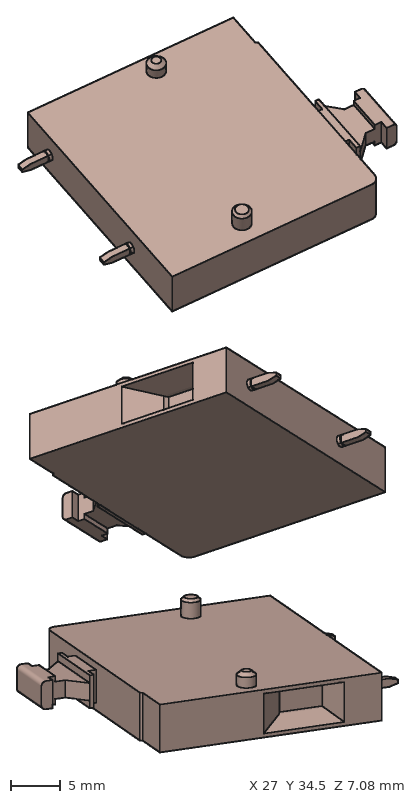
import cadquery as cq

WIDTH = 27.0
DEPTH = 24.75
THICKNESS = 5.08
MID_Z = THICKNESS / 2
CORNER_RADIUS = 1.0
STEP_WIDTH = 4.1
STEP_DEPTH = 0.25
STEP_RUN = 0.17

POCKET_FRONT_Y = 4.15
POCKET_BACK_Y = 13.05
POCKET_MARGIN = 0.43
POCKET_DEPTH = 2.95
FLOOR_FRONT_Y = 5.03
FLOOR_BACK_Y = 9.98
FLOOR_MARGIN = 1.2
RECESS_DEPTH = 0.5
RECESS_BACK_Y = 9.72

PEG_RADIUS = 1.0
LEFT_PEG = {"x": 2.08, "y": 14.0, "height": 1.55, "top_radius": 0.5, "bevel": 0.43}
RIGHT_PEG = {"x": 24.5, "y": 9.9, "height": 2.0, "top_radius": 0.7, "bevel": 0.3}

PIN_PITCH = 15.24
FIRST_PIN_X = 4.1
PIN_LENGTH = 3.5
PIN_WIDTH = 0.8
PIN_THICKNESS = 0.9
PIN_TIP_THICKNESS = 0.36
PIN_TIP_LENGTH = 1.0
COLLAR_RADIUS = 0.6
COLLAR_LENGTH = 0.4

BUTTON_X = 17.4
BUTTON_HEIGHT = 6.25
STEM_WIDTH = 5.0
FLANGE_WIDTH = 7.7
FLANGE_BASE = 0.85
FLANGE_TOP = 1.3
NECK_WIDTH = 3.95
NECK_BASE = 3.15
CAP_WIDTH = 5.95
CAP_BASE = 5.02
HEAD_BASE = 4.25
BASE_THICKNESS = 3.5
NECK_THICKNESS = 1.85
HEAD_THICKNESS = 3.0
HEAD_RADIUS = 0.5


def make_housing():
    step_y = DEPTH - STEP_DEPTH
    outline = (
        cq.Workplane("XY")
        .lineTo(WIDTH, 0)
        .lineTo(WIDTH, DEPTH - CORNER_RADIUS)
        .radiusArc((WIDTH - CORNER_RADIUS, DEPTH), -CORNER_RADIUS)
        .lineTo(STEP_WIDTH + STEP_RUN, DEPTH)
        .lineTo(STEP_WIDTH, step_y)
        .lineTo(0, step_y)
        .close()
    )
    return outline.extrude(THICKNESS)


def side_rectangle(plane, front_y, back_y, margin):
    """Rectangle in a YZ plane, centred on the housing thickness."""
    return plane.center((front_y + back_y) / 2, MID_Z).rect(
        back_y - front_y, THICKNESS - 2 * margin
    )


def make_pocket():
    mouth = side_rectangle(cq.Workplane("YZ"), POCKET_FRONT_Y, POCKET_BACK_Y, POCKET_MARGIN)
    mouth_centre_y = (POCKET_FRONT_Y + POCKET_BACK_Y) / 2
    floor_centre_y = (FLOOR_FRONT_Y + FLOOR_BACK_Y) / 2
    taper = (
        mouth.workplane(offset=POCKET_DEPTH)
        .center(floor_centre_y - mouth_centre_y, 0)
        .rect(FLOOR_BACK_Y - FLOOR_FRONT_Y, THICKNESS - 2 * FLOOR_MARGIN)
        .loft(ruled=True)
    )
    recess = (
        cq.Workplane("XY", origin=(POCKET_DEPTH, 0, FLOOR_MARGIN))
        .moveTo(0, FLOOR_FRONT_Y)
        .lineTo(RECESS_DEPTH, FLOOR_FRONT_Y)
        .lineTo(RECESS_DEPTH, RECESS_BACK_Y)
        .lineTo(0, FLOOR_BACK_Y)
        .close()
        .extrude(THICKNESS - 2 * FLOOR_MARGIN)
    )
    return taper.union(recess)


def make_peg(x, y, height, top_radius, bevel):
    """Round peg with a conical tip; bevel is the height of the cone."""
    half_section = (
        cq.Workplane("XZ", origin=(x, y, THICKNESS))
        .lineTo(PEG_RADIUS, 0)
        .lineTo(PEG_RADIUS, height - bevel)
        .lineTo(top_radius, height)
        .lineTo(0, height)
        .close()
    )
    return half_section.revolve(360, (0, 0, 0), (0, 1, 0))


def make_pin(x):
    """Round collar and flat blade whose tip tapers in thickness."""
    collar = cq.Workplane("XZ", origin=(x, 0, MID_Z)).circle(COLLAR_RADIUS).extrude(COLLAR_LENGTH)
    taper_y = PIN_TIP_LENGTH - PIN_LENGTH
    blade = (
        cq.Workplane("YZ", origin=(x, 0, MID_Z))
        .moveTo(0, PIN_THICKNESS / 2)
        .lineTo(taper_y, PIN_THICKNESS / 2)
        .lineTo(-PIN_LENGTH, PIN_TIP_THICKNESS / 2)
        .lineTo(-PIN_LENGTH, -PIN_TIP_THICKNESS / 2)
        .lineTo(taper_y, -PIN_THICKNESS / 2)
        .lineTo(0, -PIN_THICKNESS / 2)
        .close()
        .extrude(PIN_WIDTH / 2, both=True)
    )
    return collar.union(blade)


def make_button():
    """Overlap of the button's plan outline and its side profile."""
    plan = (
        cq.Workplane("XY", origin=(BUTTON_X, DEPTH, 0))
        .lineTo(STEM_WIDTH / 2, 0)
        .lineTo(STEM_WIDTH / 2, FLANGE_BASE)
        .lineTo(FLANGE_WIDTH / 2, FLANGE_BASE)
        .lineTo(FLANGE_WIDTH / 2, FLANGE_TOP)
        .lineTo(NECK_WIDTH / 2, NECK_BASE)
        .lineTo(NECK_WIDTH / 2, CAP_BASE)
        .lineTo(CAP_WIDTH / 2, CAP_BASE)
        .lineTo(CAP_WIDTH / 2, BUTTON_HEIGHT)
        .lineTo(0, BUTTON_HEIGHT)
        .close()
        .extrude(THICKNESS)
    )
    plan = plan.union(plan.mirror("YZ", (BUTTON_X, 0, 0)))

    def slab(bottom, top, thickness):
        return cq.Workplane("XY", origin=(BUTTON_X, DEPTH + (bottom + top) / 2, MID_Z)).box(
            FLANGE_WIDTH, top - bottom, thickness
        )

    head = slab(HEAD_BASE, BUTTON_HEIGHT, HEAD_THICKNESS).edges(">Y and |X").fillet(HEAD_RADIUS)
    neck = slab(FLANGE_TOP, HEAD_BASE, NECK_THICKNESS)
    base = slab(0, FLANGE_TOP, BASE_THICKNESS)
    return plan.intersect(base.union(neck).union(head))


result = make_housing().cut(make_pocket())
for peg in (LEFT_PEG, RIGHT_PEG):
    result = result.union(make_peg(**peg))
for pin_x in (FIRST_PIN_X, FIRST_PIN_X + PIN_PITCH):
    result = result.union(make_pin(pin_x))
result = result.union(make_button())